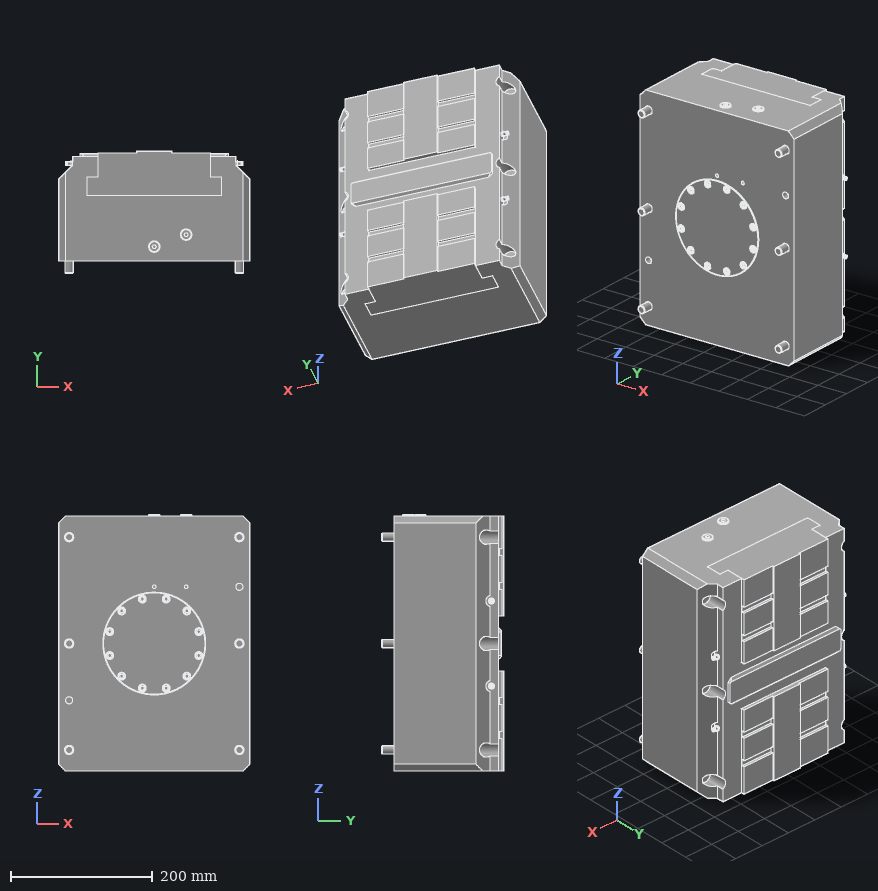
import cadquery as cq
import math


width = 270.0
height = 360.0
back_y = 147.5
back_half_width = 115.0
side_bevel = width / 2 - back_half_width
bevel_end_y = 135.5
corner_width = 10.0
corner_height = 10.0

jaw_inner_z = 38.5
jaw_root_width = 190.0
jaw_root_y = 92.5
jaw_root_thickness = 26.0
jaw_neck_width = 159.0
jaw_face_y = 152.5
jaw_key_width = 50.0
jaw_key_y = 155.0
jaw_groove_width = 10.0
jaw_groove_depth = 4.0
jaw_groove_z = (81.0, 129.0)

cover_width = 210.0
cover_height = 45.0
cover_thickness = 4.0
cover_corner = 6.0

screw_x = 120.0
screw_z = (-150.0, 0.0, 150.0)
screw_diameter = 12.0
screw_protrusion = 17.5
screw_tip_chamfer = 1.0
screw_hole_diameter = 13.0
screw_hole_depth = 5.0
head_bore_diameter = 20.0
head_bore_floor_y = bevel_end_y - side_bevel
pin_hole_diameter = 10.0
pin_hole_depth = 12.0
pin_hole_z = 80.0

disc_diameter = 145.0
disc_edge_chamfer = 1.0
disc_bolt_count = 12
disc_bolt_circle = 130.0
disc_bolt_bore = 11.0
disc_bolt_head = 8.57
disc_bolt_bore_depth = 2.0
disc_bolt_recess = 0.5
disc_bolt_socket = 5.0
disc_bolt_socket_depth = 3.0

port_x = (0.0, 45.0)
front_port_z = 80.0
front_port_diameter = 5.0
front_port_depth = 10.0
plug_y = (20.3, 37.2)
plug_diameter = 16.0
plug_height = 2.25
plug_chamfer = 1.0
plug_socket = 5.0
plug_socket_depth = 4.0

nipple_y = 137.5
nipple_z = 60.0
nipple_seat_diameter = 16.0
nipple_shank_diameter = 5.5
nipple_neck_diameter = 4.92
nipple_collar_diameter = 8.38
nipple_length = 10.0
nipple_collar_start = 2.2
nipple_collar_end = 2.4
nipple_neck_start = 7.0
nipple_neck_end = 8.0
nipple_mouth_diameter = 2.0
nipple_mouth_depth = 2.0


def cylinder(diameter, length, start, direction):
    """Round bar that begins at start and runs along direction."""
    bar = cq.Solid.makeCylinder(diameter / 2, length, cq.Vector(*start), cq.Vector(*direction))
    return cq.Workplane(obj=bar)


def box(x_size, y_min, y_max, z_min, z_max):
    """Block centred on X with its Y and Z limits given."""
    return (
        cq.Workplane("XY")
        .box(x_size, y_max - y_min, z_max - z_min, centered=(True, False, False))
        .translate((0, y_min, z_min))
    )


def hex_socket(across_flats, depth):
    """Hexagonal bar along +Z, standing on the origin."""
    return cq.Workplane("XY").polygon(6, across_flats / math.cos(math.pi / 6)).extrude(depth)


def make_block():
    """Bevelled block with chamfered vertical corners."""
    half_width = width / 2
    half_height = height / 2
    flat_x = half_width - corner_width
    flat_z = half_height - corner_height
    outline = [
        (-flat_x, -half_height),
        (flat_x, -half_height),
        (half_width, -flat_z),
        (half_width, flat_z),
        (flat_x, half_height),
        (-flat_x, half_height),
        (-half_width, flat_z),
        (-half_width, -flat_z),
    ]
    block = cq.Workplane("XZ").polyline(outline).close().extrude(-back_y)
    return block.intersect(make_bevel_profile())


def make_bevel_profile():
    """Section of the housing across Z, narrowing to the back."""
    half_width = width / 2
    return (
        cq.Workplane("XY")
        .polyline([
            (-half_width, 0),
            (half_width, 0),
            (half_width, bevel_end_y - side_bevel),
            (back_half_width, bevel_end_y),
            (back_half_width, back_y),
            (-back_half_width, back_y),
            (-back_half_width, bevel_end_y),
            (-half_width, bevel_end_y - side_bevel),
        ])
        .close()
        .extrude(height / 2, both=True)
    )


def make_jaw_envelope():
    """Upper T-shaped jaw without key and grooves; it also cuts the guide in the housing."""
    root_top_y = jaw_root_y + jaw_root_thickness
    root = box(jaw_root_width, jaw_root_y, root_top_y, jaw_inner_z, height / 2)
    neck = box(jaw_neck_width, root_top_y, jaw_face_y, jaw_inner_z, height / 2)
    return root.union(neck)


def make_jaw():
    """Upper base jaw with cross grooves and a lengthwise key on its face."""
    jaw = make_jaw_envelope()
    for z in jaw_groove_z:
        jaw = jaw.cut(box(
            jaw_neck_width,
            jaw_face_y - jaw_groove_depth,
            jaw_face_y,
            z - jaw_groove_width / 2,
            z + jaw_groove_width / 2,
        ))
    key_bottom_y = jaw_face_y - jaw_groove_depth
    return jaw.union(box(jaw_key_width, key_bottom_y, jaw_key_y, jaw_inner_z, height / 2))


def make_cover():
    """Central back cover: cut corners and long edges bevelled over its full thickness."""
    plate = (
        cq.Workplane("XZ", origin=(0, back_y, 0))
        .rect(cover_width, cover_height)
        .extrude(-cover_thickness)
        .edges("|Y")
        .chamfer(cover_corner)
    )
    half_height = cover_height / 2
    bevel = (
        cq.Workplane("YZ")
        .polyline([
            (back_y, -half_height),
            (back_y + cover_thickness, -half_height + cover_thickness),
            (back_y + cover_thickness, half_height - cover_thickness),
            (back_y, half_height),
        ])
        .close()
        .extrude(cover_width / 2, both=True)
    )
    return plate.intersect(bevel)


def add_mounting_screws(body):
    """Six screws standing out of the mounting face, with head bores open to the back."""
    for x in (-screw_x, screw_x):
        for z in screw_z:
            bore_length = back_y - head_bore_floor_y
            body = body.cut(cylinder(head_bore_diameter, bore_length, (x, head_bore_floor_y, z), (0, 1, 0)))
            body = body.cut(cylinder(screw_hole_diameter, screw_hole_depth, (x, 0, z), (0, 1, 0)))
            shank_length = screw_protrusion + screw_hole_depth
            shank = cylinder(screw_diameter, shank_length, (x, -screw_protrusion, z), (0, 1, 0))
            body = body.union(shank.faces("<Y").chamfer(screw_tip_chamfer))
    return body


def cut_pin_holes(body):
    """Two locating holes, diagonally opposite."""
    for side in (-1, 1):
        start = (side * screw_x, 0, side * pin_hole_z)
        body = body.cut(cylinder(pin_hole_diameter, pin_hole_depth, start, (0, 1, 0)))
    return body


def cut_disc_outline(body):
    """V-groove left around the chamfered rim of the flush round cover."""
    radius = disc_diameter / 2
    groove = (
        cq.Workplane("XY")
        .polyline([(radius, 0), (radius, disc_edge_chamfer), (radius - disc_edge_chamfer, 0)])
        .close()
        .revolve(360, (0, 0, 0), (0, 1, 0))
    )
    return body.cut(groove)


def cut_disc_bolts(body):
    """Ring of sunk socket-head bolts in the round cover."""
    for index in range(disc_bolt_count):
        angle = math.radians((index + 0.5) * 360 / disc_bolt_count)
        x = disc_bolt_circle / 2 * math.cos(angle)
        z = disc_bolt_circle / 2 * math.sin(angle)
        bore = cylinder(disc_bolt_bore, disc_bolt_bore_depth, (x, 0, z), (0, 1, 0))
        head_length = disc_bolt_bore_depth - disc_bolt_recess
        head = cylinder(disc_bolt_head, head_length, (x, disc_bolt_recess, z), (0, 1, 0))
        socket = hex_socket(disc_bolt_socket, disc_bolt_socket_depth)
        socket = socket.rotate((0, 0, 0), (1, 0, 0), -90).translate((x, disc_bolt_recess, z))
        body = body.cut(bore.cut(head)).cut(socket)
    return body


def add_air_ports(body):
    """Small holes in the mounting face and plugged ports on the top face."""
    for x, y in zip(port_x, plug_y):
        body = body.cut(cylinder(front_port_diameter, front_port_depth, (x, 0, front_port_z), (0, 1, 0)))
        plug = cylinder(plug_diameter, plug_height, (x, y, height / 2), (0, 0, 1))
        socket_floor_z = height / 2 + plug_height - plug_socket_depth
        socket = hex_socket(plug_socket, plug_socket_depth).translate((x, y, socket_floor_z))
        body = body.union(plug.faces(">Z").chamfer(plug_chamfer)).cut(socket)
    return body


def make_nipple():
    """Grease nipple along +X, seated on the X = 0 plane."""
    shank = nipple_shank_diameter / 2
    neck = nipple_neck_diameter / 2
    collar = nipple_collar_diameter / 2
    mouth = nipple_mouth_diameter / 2
    mouth_floor = nipple_length - nipple_mouth_depth
    return (
        cq.Workplane("XY")
        .polyline([
            (0, 0),
            (0, shank),
            (nipple_collar_start, shank),
            (nipple_collar_start, collar),
            (nipple_collar_end, collar),
            (nipple_collar_end, shank),
            (nipple_neck_start, shank),
            (nipple_neck_start, neck),
            (nipple_neck_end, neck),
            (nipple_neck_end, shank),
            (nipple_length, shank),
            (nipple_length, mouth),
            (mouth_floor, mouth),
            (mouth_floor, 0),
        ])
        .close()
        .revolve(360, (0, 0, 0), (1, 0, 0))
    )


def add_nipples(body):
    """Spot-faced grease nipples, two on each side."""
    for side in (-1, 1):
        for z in (-nipple_z, nipple_z):
            seat = (side * back_half_width, nipple_y, z)
            body = body.cut(cylinder(nipple_seat_diameter, side_bevel, seat, (side, 0, 0)))
            nipple = make_nipple()
            if side < 0:
                nipple = nipple.rotate((0, 0, 0), (0, 0, 1), 180)
            body = body.union(nipple.translate(seat))
    return body


def make_housing():
    """Complete housing with both jaw guides."""
    guide = make_jaw_envelope()
    body = make_block().cut(guide).cut(guide.mirror("XY"))
    body = body.union(make_cover())
    body = add_mounting_screws(body)
    body = cut_pin_holes(body)
    body = cut_disc_outline(body)
    body = cut_disc_bolts(body)
    body = add_air_ports(body)
    return add_nipples(body)


housing = make_housing()
upper_jaw = make_jaw()
lower_jaw = upper_jaw.mirror("XY")

result = cq.Compound.makeCompound([
    housing.solids().val(),
    upper_jaw.solids().val(),
    lower_jaw.solids().val(),
])